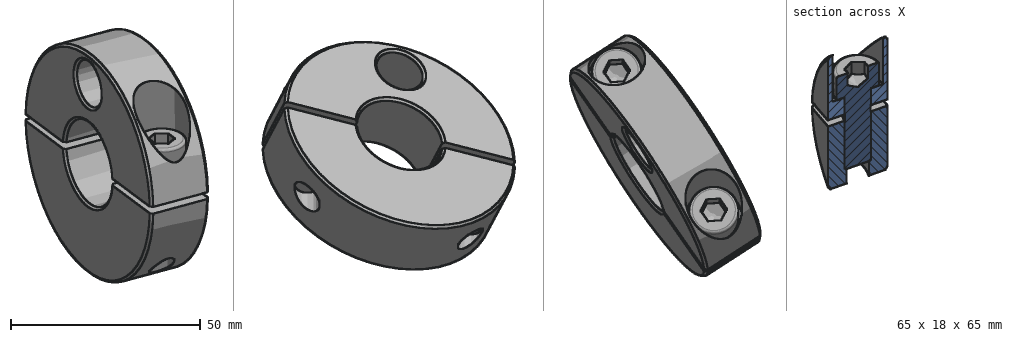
import cadquery as cq
import math

OUTER_DIAMETER = 65.0
BORE_DIAMETER = 24.0
WIDTH = 18.0
SPLIT_GAP = 2.0
EDGE_CHAMFER = 0.7

CROSS_HOLE_DIAMETER = 13.0
CROSS_HOLE_HEIGHT = 23.5

SCREW_OFFSET = 23.0
SCREW_POSITIONS = [-SCREW_OFFSET, SCREW_OFFSET]
SCREW_SEAT_HEIGHT = 7.0
SHANK_DIAMETER = 8.0
SHANK_LENGTH = 25.0
TAP_DRILL_DIAMETER = 6.65
HEAD_DIAMETER = 13.0
HEAD_HEIGHT = SHANK_DIAMETER
HEAD_FILLET = 0.8
COUNTERBORE_DIAMETER = 15.0

SOCKET_ACROSS_FLATS = 6.0
SOCKET_ACROSS_CORNERS = SOCKET_ACROSS_FLATS / math.cos(math.radians(30))
SOCKET_DEPTH = 4.0
SOCKET_POINT_ANGLE = 120.0

TIP_CHAMFER = (SHANK_DIAMETER - TAP_DRILL_DIAMETER) / 2


def chamfered_cylinder(diameter, chamfer):
    """Cylinder across the collar width whose radius changes by `chamfer` towards
    both faces: inwards when positive, outwards when negative."""
    radius = diameter / 2
    half_width = WIDTH / 2
    end_radius = radius - chamfer
    shoulder = half_width - abs(chamfer)
    return (
        cq.Workplane("XY")
        .moveTo(0, -half_width)
        .lineTo(end_radius, -half_width)
        .lineTo(radius, -shoulder)
        .lineTo(radius, shoulder)
        .lineTo(end_radius, half_width)
        .lineTo(0, half_width)
        .close()
        .revolve(360, (0, 0, 0), (0, 1, 0))
    )


def vertical_cylinder(x, diameter, bottom, top):
    """Cylinder parallel to Z at the given X."""
    return (
        cq.Workplane("XY", origin=(x, 0, bottom))
        .circle(diameter / 2)
        .extrude(top - bottom)
    )


def make_shank(x):
    """Screw shank with a chamfered tip, from the tip up to the seat."""
    tip = SCREW_SEAT_HEIGHT - SHANK_LENGTH
    return (
        vertical_cylinder(x, SHANK_DIAMETER, tip, SCREW_SEAT_HEIGHT)
        .faces("<Z")
        .chamfer(TIP_CHAMFER)
    )


def make_socket(x):
    """Hexagonal recess in the screw head, ending in a conical drill point."""
    head_top = SCREW_SEAT_HEIGHT + HEAD_HEIGHT
    corner_radius = SOCKET_ACROSS_CORNERS / 2
    point_depth = corner_radius / math.tan(math.radians(SOCKET_POINT_ANGLE / 2))
    hexagon = (
        cq.Workplane("XY", origin=(x, 0, head_top))
        .polygon(6, SOCKET_ACROSS_CORNERS)
        .extrude(-(SOCKET_DEPTH + point_depth))
    )
    drilled = (
        cq.Workplane("XZ", origin=(x, 0, head_top))
        .lineTo(corner_radius, 0)
        .lineTo(corner_radius, -SOCKET_DEPTH)
        .lineTo(0, -SOCKET_DEPTH - point_depth)
        .close()
        .revolve(360, (0, 0, 0), (0, 1, 0))
    )
    return hexagon.intersect(drilled)


def make_screw(x):
    """Socket head cap screw seated in the upper half."""
    head = (
        vertical_cylinder(x, HEAD_DIAMETER, SCREW_SEAT_HEIGHT, SCREW_SEAT_HEIGHT + HEAD_HEIGHT)
        .faces(">Z")
        .edges()
        .fillet(HEAD_FILLET)
    )
    return head.union(make_shank(x)).cut(make_socket(x))


def make_ring_half(side):
    """Plain half of the collar with its bore: side +1 is above the split, -1 below."""
    ring = chamfered_cylinder(OUTER_DIAMETER, EDGE_CHAMFER)
    ring = ring.cut(chamfered_cylinder(BORE_DIAMETER, -EDGE_CHAMFER))
    half_space = cq.Workplane("XY").box(OUTER_DIAMETER, WIDTH, OUTER_DIAMETER).translate(
        (0, 0, side * (OUTER_DIAMETER + SPLIT_GAP) / 2)
    )
    return ring.intersect(half_space)


def make_upper_half():
    """Upper half: cross hole, counterbores and screw holes."""
    half = make_ring_half(1)
    cross_hole = chamfered_cylinder(CROSS_HOLE_DIAMETER, -EDGE_CHAMFER)
    half = half.cut(cross_hole.translate((0, 0, CROSS_HOLE_HEIGHT)))
    for x in SCREW_POSITIONS:
        half = half.cut(
            vertical_cylinder(x, COUNTERBORE_DIAMETER, SCREW_SEAT_HEIGHT, OUTER_DIAMETER / 2)
        )
        half = half.cut(make_shank(x))
    return half


def make_lower_half():
    """Lower half: tap drill holes right through, opened out to fit the shanks."""
    half = make_ring_half(-1)
    for x in SCREW_POSITIONS:
        half = half.cut(vertical_cylinder(x, TAP_DRILL_DIAMETER, -OUTER_DIAMETER / 2, 0))
        half = half.cut(make_shank(x))
    return half


upper_half = make_upper_half()
lower_half = make_lower_half()
screws = [make_screw(x) for x in SCREW_POSITIONS]

result = cq.Compound.makeCompound(
    [body.solids().val() for body in (upper_half, lower_half, *screws)]
)